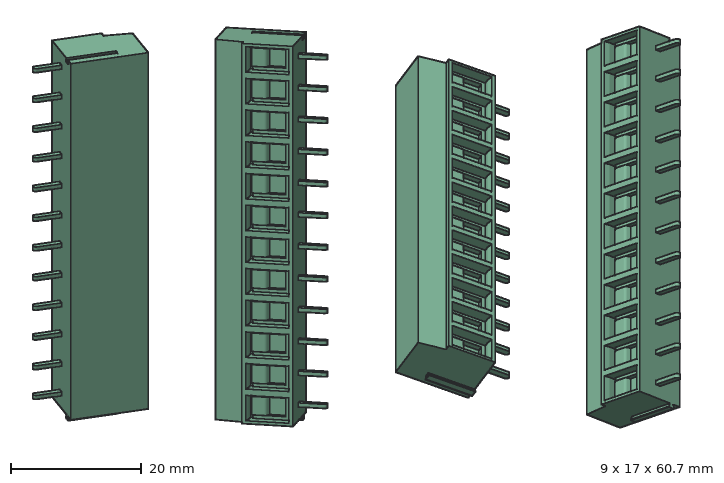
import cadquery as cq

pole_count = 12
total_length = 60.7
body_width = 9.0
body_height = 12.5
tongue_height = 0.65
body_length = total_length - tongue_height
pitch = body_length / pole_count

shoulder_height = 8.0
slope_foot_x = 0.9
slope_top_x = 1.5

dovetail_x = 7.15
dovetail_neck_width = 0.7
dovetail_wide_width = 1.15
dovetail_lip = 0.1

window_low_y = 0.6
window_high_y = 7.4
window_height = 4.0
taper_depth = 1.0
wall_taper = 0.25
seat_depth = 1.7
recess_depth = 2.3
seat_edge_y = 6.7

opening_low_y = 1.5
opening_depth = 2.55
opening_height = 2.9
clamp_low_y = 4.55
clamp_root_low_y = 4.25
clamp_high_y = 7.0
clamp_raise = 0.05
clamp_radius = 0.5

pin_length = 4.5
pin_width = 1.0
pin_thickness = 0.65
pin_x = 4.1
pin_root = 0.6


def block(x_range, y_range, z_center, height):
    """Box spanning the given X and Y ranges, centred on z_center."""
    x_low, x_high = x_range
    y_low, y_high = y_range
    return (
        cq.Workplane("XY", origin=(0, 0, z_center - height / 2))
        .moveTo(x_low, y_low)
        .lineTo(x_high, y_low)
        .lineTo(x_high, y_high)
        .lineTo(x_low, y_high)
        .close()
        .extrude(height)
    )


def housing():
    outline = [
        (0, 0),
        (body_width, 0),
        (body_width, body_height),
        (slope_top_x, body_height),
        (slope_foot_x, shoulder_height),
        (0, shoulder_height),
    ]
    return cq.Workplane("XY").polyline(outline).close().extrude(body_length)


def dovetail(neck_z):
    """Bar that widens downwards from its neck and runs from the pin face to the shoulder."""
    neck = dovetail_neck_width / 2
    wide = dovetail_wide_width / 2
    foot_z = neck_z - tongue_height
    lip_z = foot_z + dovetail_lip
    outline = [
        (dovetail_x - neck, neck_z),
        (dovetail_x - wide, lip_z),
        (dovetail_x - wide, foot_z),
        (dovetail_x + wide, foot_z),
        (dovetail_x + wide, lip_z),
        (dovetail_x + neck, neck_z),
    ]
    return cq.Workplane("XZ").polyline(outline).close().extrude(-shoulder_height)


def window(z_center):
    """Tapered mouth with a seat, and a deeper recess along its upper Y edge."""
    wall_low_y = window_low_y + wall_taper
    wall_high_y = window_high_y - wall_taper
    outline = [
        (0, window_low_y),
        (taper_depth, wall_low_y),
        (seat_depth, wall_low_y),
        (seat_depth, seat_edge_y),
        (recess_depth, seat_edge_y),
        (recess_depth, wall_high_y),
        (taper_depth, wall_high_y),
        (0, window_high_y),
    ]
    base = cq.Workplane("XY", origin=(0, 0, z_center - window_height / 2))
    return base.polyline(outline).close().extrude(window_height)


def wire_opening(z_center):
    """Blind opening in the seat, cleared as far as the rounded low edge of the clamp."""
    y_range = (opening_low_y, clamp_low_y + clamp_radius)
    return block((seat_depth, opening_depth), y_range, z_center, opening_height)


def clamp(z_center):
    """Bar with rounded front edges whose low side slants down to the opening floor."""
    front_x = seat_depth - clamp_raise
    outline = [
        (front_x, clamp_low_y),
        (opening_depth, clamp_root_low_y),
        (opening_depth, clamp_high_y),
        (front_x, clamp_high_y),
    ]
    base = cq.Workplane("XY", origin=(0, 0, z_center - opening_height / 2))
    bar = base.polyline(outline).close().extrude(opening_height)
    return bar.edges("|Z and <X").fillet(clamp_radius)


def pin(z_center):
    """Flat pin with a full round tip, rooted inside the housing."""
    bar = block(
        (pin_x - pin_width / 2, pin_x + pin_width / 2),
        (pin_width / 2 - pin_length, pin_root),
        z_center,
        pin_thickness,
    )
    tip = (
        cq.Workplane("XY", origin=(pin_x, pin_width / 2 - pin_length, z_center - pin_thickness / 2))
        .circle(pin_width / 2)
        .extrude(pin_thickness)
    )
    return bar.union(tip)


result = housing().cut(dovetail(body_length))
result = result.union(dovetail(0))

for pole in range(pole_count):
    pole_z = (pole + 0.5) * pitch
    result = result.cut(window(pole_z)).cut(wire_opening(pole_z))
    result = result.union(clamp(pole_z)).union(pin(pole_z))